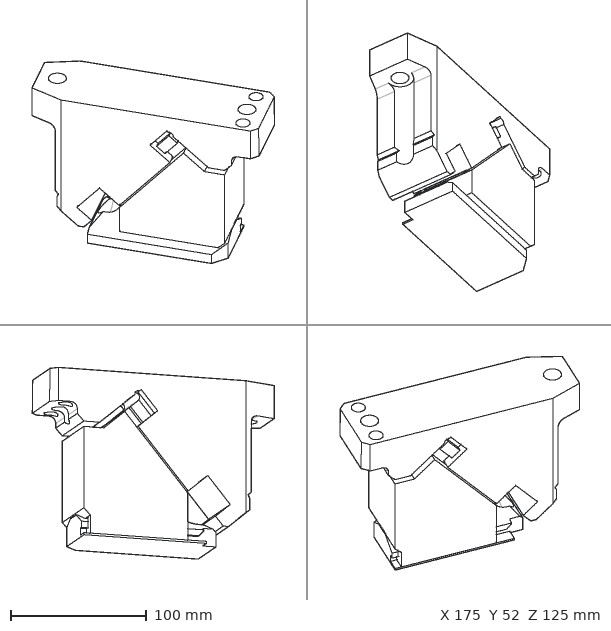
import cadquery as cq
import math


LENGTH = 175.0
WIDTH = 52.0
HEIGHT = 125.0
HALF_WIDTH = WIDTH / 2
RAMP_ANGLE = 50.0
ROOF_ANGLE = 30.0

SLIDE_LEFT = 69.6
SLIDE_RIGHT = 150.2
SLIDE_BOTTOM = 15.2
SLIDE_TOP = 81.7
RAMP_START_Z = 37.0
RAMP_LENGTH = 76.1
SLIDE_CORNER = 5.0

BASE_LEFT = 45.0
BASE_RIGHT = 150.0
EAVE_Z = 8.0
ROOF_TOP_Z = 21.2
SEAT_TOP_Z = 19.2
SEAT_DROP_X = 67.7
END_BEVEL_Z = 10.8
CORNER_CHAMFER = 10.0
RELIEF_RADIUS = 9.1
RELIEF_BOTTOM_Z = 12.0
RELIEF_END_X = 55.0

CLAW_LEG_Y = 20.0
CLAW_FOOT_Y = 17.0
NOTCH_END = 55.3
CLAW_FOOT_TOP = 6.8
CLAW_BOTTOM = 1.5
TONGUE_BEVEL = 3.8

FLANGE_THICKNESS = 25.0
FLANGE_BOTTOM = HEIGHT - FLANGE_THICKNESS
FLANGE_FILLET = 5.2
NOSE_LENGTH = 24.8
NOSE_HALF_WIDTH = 17.0
TAIL_CHAMFER = 5.2
TAIL_DRAFT = 0.4
WEB_LEFT = 20.0
FOOT_LEFT = 21.4
WEB_BOTTOM = 41.5
WEB_NOTCH_X = 22.8
WEB_NOTCH_Z = 39.0
FOOT_TOP = 36.4
FOOT_BOTTOM = 28.0
BOSS_RIGHT = 155.2
BOSS_LOWER_Z = 91.2
BOSS_BOTTOM_X = SLIDE_RIGHT
BOSS_BOTTOM = 85.8
HOOK_BOTTOM = 14.0
HOOK_SEAT_LENGTH = 19.8
HOOK_BACK_LENGTH = 27.0
HOOK_LIP_LENGTH = 14.9

SEAT_START = 1.15
LEAD_END = 4.0
SEAT_GAP = 1.2
SLOT_WIDTH = 5.0
SLOT_END = 17.0
SLOT_END_RADIUS = 3.2
POCKET_START = 61.5
POCKET_HEIGHT = 21.0
RIB_BOTTOM = 7.7
RIB_TOP = 16.1
POCKET_DEPTH = 8.0
RIB_DEPTH = 4.2

BOLT_DIAMETER = 13.1
BOLT_LEFT_X = 14.7
BOLT_RIGHT_X = 159.8
DOWEL_DIAMETER = 10.3
DOWEL_X = 161.7
DOWEL_Y = 17.5
BOLT_CHANNEL_RADIUS = 10.2

RAMP_COS = math.cos(math.radians(RAMP_ANGLE))
RAMP_SIN = math.sin(math.radians(RAMP_ANGLE))
ROOF_SLOPE = math.tan(math.radians(ROOF_ANGLE))


def on_ramp(along, above):
    """Point (x, z) given by its distance along the ramp and its height square to it."""
    x = SLIDE_LEFT + along * RAMP_COS - above * RAMP_SIN
    z = RAMP_START_Z + along * RAMP_SIN + above * RAMP_COS
    return (x, z)


def prism_y(points, y_min=-HALF_WIDTH, y_max=HALF_WIDTH):
    """Prism of an (x, z) outline between two Y positions."""
    plane = cq.Plane(origin=(0, y_min, 0), xDir=(1, 0, 0), normal=(0, -1, 0))
    return cq.Workplane(plane).polyline(points).close().extrude(y_min - y_max)


def prism_x(points, x_min, x_max):
    """Prism of a (y, z) outline between two X positions."""
    return cq.Workplane("YZ", origin=(x_min, 0, 0)).polyline(points).close().extrude(x_max - x_min)


def ramp_block(along_min, along_max, above_min, above_max, y_min=-HALF_WIDTH, y_max=HALF_WIDTH):
    """Box aligned with the ramp."""
    corners = [
        on_ramp(along_min, above_min),
        on_ramp(along_max, above_min),
        on_ramp(along_max, above_max),
        on_ramp(along_min, above_max),
    ]
    return prism_y(corners, y_min, y_max)


def roof_profile(top_z):
    """Outline (y, z) of the guide roof, flattened at top_z."""
    ridge_y = HALF_WIDTH - (top_z - EAVE_Z) / ROOF_SLOPE
    return [
        (-HALF_WIDTH, 0),
        (-HALF_WIDTH, EAVE_Z),
        (-ridge_y, top_z),
        (ridge_y, top_z),
        (HALF_WIDTH, EAVE_Z),
        (HALF_WIDTH, 0),
    ]


def claw_profile(top_z):
    """Outline (y, z) of the L-shaped return claw on the +Y side."""
    return [
        (CLAW_FOOT_Y, CLAW_BOTTOM),
        (HALF_WIDTH, CLAW_BOTTOM),
        (HALF_WIDTH, top_z),
        (CLAW_LEG_Y, top_z),
        (CLAW_LEG_Y, CLAW_FOOT_TOP),
        (CLAW_FOOT_Y, CLAW_FOOT_TOP),
    ]


def holder_outline():
    """Outline (x, z) of the holder, closed along the ramp."""
    hook_inner = on_ramp(SEAT_START, HOOK_SEAT_LENGTH + SEAT_GAP)
    hook_back = on_ramp(SEAT_START - HOOK_BACK_LENGTH, HOOK_SEAT_LENGTH + SEAT_GAP)
    lip_above = HOOK_SEAT_LENGTH + SEAT_GAP - HOOK_LIP_LENGTH
    hook_lip = on_ramp(SEAT_START - HOOK_BACK_LENGTH, lip_above)
    lip_bottom_x = hook_lip[0] - (hook_lip[1] - HOOK_BOTTOM) * RAMP_COS / RAMP_SIN
    foot_slope_x = FOOT_LEFT + (FOOT_BOTTOM - HOOK_BOTTOM) * RAMP_SIN / RAMP_COS
    slot_top = RAMP_LENGTH + SLOT_WIDTH
    slot_corner = on_ramp(slot_top, 0)
    boss_left_x = slot_corner[0] + (slot_corner[1] - BOSS_BOTTOM) * RAMP_SIN / RAMP_COS
    return [
        (0, FLANGE_BOTTOM),
        (0, HEIGHT),
        (LENGTH - TAIL_DRAFT, HEIGHT),
        (LENGTH, FLANGE_BOTTOM),
        (BOSS_RIGHT, FLANGE_BOTTOM),
        (BOSS_RIGHT, BOSS_LOWER_Z),
        (BOSS_BOTTOM_X, BOSS_BOTTOM),
        (boss_left_x, BOSS_BOTTOM),
        slot_corner,
        on_ramp(SEAT_START, 0),
        hook_inner,
        hook_back,
        hook_lip,
        (lip_bottom_x, HOOK_BOTTOM),
        (foot_slope_x, HOOK_BOTTOM),
        (FOOT_LEFT, FOOT_BOTTOM),
        (FOOT_LEFT, FOOT_TOP),
        (WEB_NOTCH_X, WEB_NOTCH_Z),
        (WEB_LEFT, WEB_BOTTOM),
        (WEB_LEFT, FLANGE_BOTTOM),
    ]


def plan_outline():
    """Prism of the holder's outline seen from above: tapered nose and chamfered tail."""
    half_outline = [
        (0, NOSE_HALF_WIDTH),
        (NOSE_LENGTH, HALF_WIDTH),
        (LENGTH - TAIL_CHAMFER, HALF_WIDTH),
        (LENGTH, HALF_WIDTH - TAIL_CHAMFER),
    ]
    mirrored = [(x, -y) for x, y in reversed(half_outline)]
    return cq.Workplane("XY").polyline(half_outline + mirrored).close().extrude(HEIGHT)


def return_slot():
    """Slot above the slide's upper edge, with a round inner end."""
    slot = ramp_block(RAMP_LENGTH, RAMP_LENGTH + SLOT_WIDTH, 0, SLOT_END)
    end_x, end_z = on_ramp(RAMP_LENGTH + SLOT_END_RADIUS, SLOT_END)
    end = (
        cq.Workplane("XZ", origin=(end_x, HALF_WIDTH, end_z))
        .circle(SLOT_END_RADIUS)
        .extrude(WIDTH)
    )
    return slot.union(end)


def side_pocket():
    """Recess in the -Y face: the gap beside the ramp and the ribbed pocket at its upper end."""
    floor_y = -HALF_WIDTH + POCKET_DEPTH
    rib_y = -HALF_WIDTH + RIB_DEPTH
    pocket_end = RAMP_LENGTH + SLOT_WIDTH
    gap = ramp_block(SEAT_START, POCKET_START, 0, SEAT_GAP, y_max=floor_y)
    pocket = ramp_block(POCKET_START, pocket_end, 0, POCKET_HEIGHT, y_max=floor_y)
    rib = ramp_block(POCKET_START, RAMP_LENGTH, RIB_BOTTOM, RIB_TOP, y_min=rib_y, y_max=floor_y)
    return gap.union(pocket).cut(rib)


def make_holder():
    body = prism_y(holder_outline())
    flange_corners = [(WEB_LEFT, FLANGE_BOTTOM), (BOSS_RIGHT, FLANGE_BOTTOM)]
    for x, z in flange_corners:
        body = body.edges(cq.selectors.NearestToPointSelector((x, 0, z))).fillet(FLANGE_FILLET)
    body = body.intersect(plan_outline())

    body = body.cut(return_slot())
    body = body.cut(ramp_block(SEAT_START, LEAD_END, 0, SEAT_GAP))
    pocket = side_pocket()
    body = body.cut(pocket).cut(pocket.mirror("XZ"))

    bolt_points = [(BOLT_LEFT_X, 0), (BOLT_RIGHT_X, 0)]
    dowel_points = [(DOWEL_X, DOWEL_Y), (DOWEL_X, -DOWEL_Y)]
    through = cq.Workplane("XY", origin=(0, 0, BOSS_BOTTOM))
    drill_length = HEIGHT - BOSS_BOTTOM
    bolts = through.pushPoints(bolt_points).circle(BOLT_DIAMETER / 2).extrude(drill_length)
    dowels = through.pushPoints(dowel_points).circle(DOWEL_DIAMETER / 2).extrude(drill_length)
    channel = (
        cq.Workplane("XY")
        .center(BOLT_LEFT_X, 0)
        .circle(BOLT_CHANNEL_RADIUS)
        .extrude(FLANGE_BOTTOM)
    )
    return body.cut(bolts).cut(dowels).cut(channel)


def make_slide():
    ramp_top = on_ramp(RAMP_LENGTH, 0)
    top_left_x = ramp_top[0] + (ramp_top[1] - SLIDE_TOP) * RAMP_SIN / RAMP_COS
    outline = [
        (SLIDE_LEFT, SLIDE_BOTTOM),
        (SLIDE_LEFT, RAMP_START_Z),
        ramp_top,
        (top_left_x, SLIDE_TOP),
        (SLIDE_RIGHT, SLIDE_TOP),
        (SLIDE_RIGHT, SLIDE_BOTTOM + SLIDE_CORNER),
        (SLIDE_RIGHT - SLIDE_CORNER, SLIDE_BOTTOM),
    ]
    body = prism_y(outline).cut(prism_x(roof_profile(SEAT_TOP_Z), SLIDE_LEFT, SLIDE_RIGHT))
    claw = prism_x(claw_profile(SLIDE_BOTTOM), SLIDE_LEFT, SLIDE_RIGHT - SLIDE_CORNER)
    return body.union(claw)


def ridge_relief():
    """Ball-ended groove along the left part of the ridge."""
    axis_z = RELIEF_BOTTOM_Z + RELIEF_RADIUS
    groove = (
        cq.Workplane("YZ", origin=(BASE_LEFT, 0, axis_z))
        .circle(RELIEF_RADIUS)
        .extrude(RELIEF_END_X - BASE_LEFT)
    )
    ball = cq.Workplane("XY", origin=(RELIEF_END_X, 0, axis_z)).sphere(RELIEF_RADIUS)
    return groove.union(ball)


def make_base():
    body = prism_x(roof_profile(ROOF_TOP_Z), BASE_LEFT, BASE_RIGHT)

    bevel_height = ROOF_TOP_Z - END_BEVEL_Z
    end_bevel = [
        (BASE_LEFT, END_BEVEL_Z),
        (BASE_LEFT + bevel_height, ROOF_TOP_Z),
        (BASE_LEFT, ROOF_TOP_Z),
    ]
    seat_drop = [
        (SEAT_DROP_X, ROOF_TOP_Z),
        (SEAT_DROP_X + ROOF_TOP_Z - SEAT_TOP_Z, SEAT_TOP_Z),
        (BASE_RIGHT, SEAT_TOP_Z),
        (BASE_RIGHT, ROOF_TOP_Z),
    ]
    body = body.cut(prism_y(end_bevel)).cut(prism_y(seat_drop)).cut(ridge_relief())

    corner = (
        cq.Workplane("XY")
        .polyline([
            (BASE_RIGHT, -HALF_WIDTH),
            (BASE_RIGHT, -HALF_WIDTH + CORNER_CHAMFER),
            (BASE_RIGHT - CORNER_CHAMFER, -HALF_WIDTH),
        ])
        .close()
        .extrude(ROOF_TOP_Z)
    )

    notch = (
        cq.Workplane("XY", origin=(BASE_LEFT, CLAW_FOOT_Y, 0))
        .box(NOTCH_END - BASE_LEFT, HALF_WIDTH - CLAW_FOOT_Y, ROOF_TOP_Z, centered=False)
    )
    groove = prism_x(claw_profile(ROOF_TOP_Z), NOTCH_END, BASE_RIGHT)
    lead_in = prism_y(
        [
            (NOTCH_END, CLAW_FOOT_TOP),
            (NOTCH_END + TONGUE_BEVEL, CLAW_FOOT_TOP),
            (NOTCH_END, CLAW_FOOT_TOP + TONGUE_BEVEL),
        ],
        y_min=CLAW_FOOT_Y,
    )
    return body.cut(corner).cut(notch).cut(groove).cut(lead_in)


holder = make_holder()
slide = make_slide()
base = make_base()

result = cq.Compound.makeCompound([holder.val(), slide.val(), base.val()])